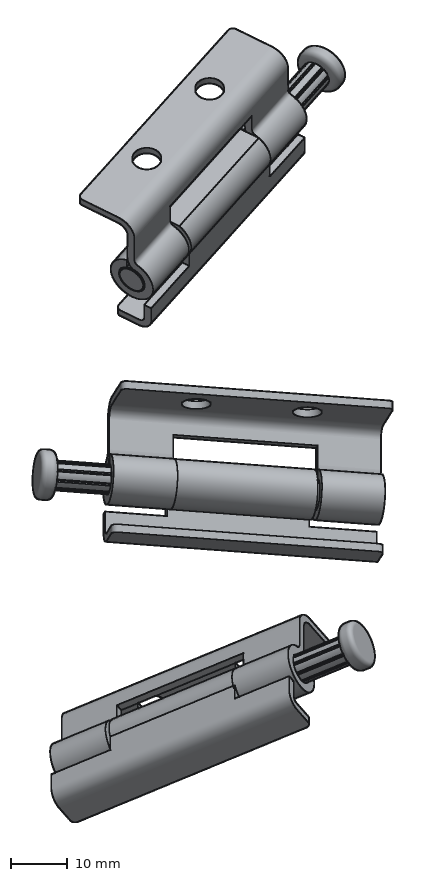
import cadquery as cq
import math


sheet = 1.5
leaf_length = 49.0
barrel_radius = 4.495
bore_radius = 2.7
corner_radius = 1.0

upper_top = 14.45
upper_edge_x = -11.5
upper_web_inner_x = -0.9
upper_web_outer_x = upper_web_inner_x + sheet
upper_bend_inner = 2.0
upper_bend_outer = upper_bend_inner + sheet
neck_height = 5.3
curl_end_x = -1.1
window_front = 11.4
window_back = 37.45
window_top = 8.9
screw_hole_diameter = 5.15
screw_hole_x = -6.45
screw_hole_pitch = 20.0

lower_bottom = -11.05
lower_edge_x = -3.4
lower_web_outer_x = 4.1
lower_web_inner_x = lower_web_outer_x - sheet
lower_bend_inner = 1.1
lower_bend_outer = lower_bend_inner + sheet
shoulder_height = -5.1
knuckle_front = 12.15
tab_back = 37.8
knuckle_flat_height = 4.0

pin_radius = 2.65
pin_front = -0.1
pin_length = 62.0
pin_back = pin_front + pin_length
pin_end_chamfer = 0.2
head_radius = barrel_radius
head_thickness = 3.05
head_top_round = 0.9
head_under_round = 1.1
head_front = pin_back - head_thickness
groove_count = 9
groove_width = 0.5
groove_depth = 0.22
groove_front = leaf_length


def on_circle(radius, x):
    """Height of the upper half of a circle about the hinge axis at x."""
    return math.sqrt(radius**2 - x**2)


def section(start_y):
    """XZ sketch plane at start_y, extruding towards +Y."""
    return cq.Workplane(cq.Plane((0, start_y, 0), xDir=(1, 0, 0), normal=(0, -1, 0)))


def extrude_back(sketch, length):
    return sketch.extrude(-length)


def bar(radius, start_y, end_y):
    """Round bar on the hinge axis."""
    return extrude_back(section(start_y).circle(radius), end_y - start_y)


def box_between(x_range, y_range, z_range):
    lengths = [end - start for start, end in (x_range, y_range, z_range)]
    corner = (x_range[0], y_range[0], z_range[0])
    return cq.Workplane("XY").box(*lengths, centered=False).translate(corner)


def round_free_corners(leaf):
    """Round the two vertical corners on the free edge of a flange."""
    return leaf.faces("<X").edges("|Z").fillet(corner_radius)


def make_upper_leaf():
    neck_radius = (
        (upper_web_outer_x**2 + neck_height**2 - barrel_radius**2)
        / (2 * (barrel_radius - upper_web_outer_x))
    )
    neck_x = upper_web_outer_x + neck_radius
    neck_distance = barrel_radius + neck_radius
    neck_end = (neck_x * barrel_radius / neck_distance, neck_height * barrel_radius / neck_distance)

    outline = (
        section(0)
        .moveTo(upper_edge_x, upper_top)
        .lineTo(upper_web_outer_x - upper_bend_outer, upper_top)
        .radiusArc((upper_web_outer_x, upper_top - upper_bend_outer), upper_bend_outer)
        .lineTo(upper_web_outer_x, neck_height)
        .radiusArc(neck_end, -neck_radius)
        .threePointArc((0, -barrel_radius), (curl_end_x, on_circle(barrel_radius, curl_end_x)))
        .lineTo(curl_end_x, on_circle(bore_radius, curl_end_x))
        .threePointArc((0, -bore_radius), (0, bore_radius))
    )
    neck_drop = neck_height - bore_radius
    neck_inner_radius = (upper_web_inner_x**2 + neck_drop**2) / (2 * abs(upper_web_inner_x))
    outline = (
        outline
        .radiusArc((upper_web_inner_x, neck_height), neck_inner_radius)
        .lineTo(upper_web_inner_x, upper_top - upper_bend_outer)
        .radiusArc((upper_web_outer_x - upper_bend_outer, upper_top - sheet), -upper_bend_inner)
        .lineTo(upper_edge_x, upper_top - sheet)
        .close()
    )
    leaf = round_free_corners(extrude_back(outline, leaf_length))

    window = box_between(
        (-barrel_radius, barrel_radius), (window_front, window_back), (-barrel_radius, window_top)
    )
    leaf = leaf.cut(window)

    holes = (
        cq.Workplane("XY", origin=(screw_hole_x, leaf_length / 2, upper_top - sheet))
        .rarray(0.6, screw_hole_pitch, 1, 2)
        .circle(screw_hole_diameter / 2)
        .extrude(sheet)
    )
    return leaf.cut(holes)


def make_lower_leaf():
    angle_outline = (
        section(0)
        .moveTo(lower_edge_x, lower_bottom)
        .lineTo(lower_web_outer_x - lower_bend_outer, lower_bottom)
        .radiusArc((lower_web_outer_x, lower_bottom + lower_bend_outer), -lower_bend_outer)
        .lineTo(lower_web_outer_x, shoulder_height)
        .lineTo(lower_web_inner_x, shoulder_height)
        .lineTo(lower_web_inner_x, lower_bottom + lower_bend_outer)
        .radiusArc((lower_web_outer_x - lower_bend_outer, lower_bottom + sheet), lower_bend_inner)
        .lineTo(lower_edge_x, lower_bottom + sheet)
        .close()
    )
    leaf = round_free_corners(extrude_back(angle_outline, leaf_length))

    tab_top = -on_circle(barrel_radius, lower_web_outer_x)
    tab = box_between(
        (lower_web_inner_x, lower_web_outer_x), (knuckle_front, tab_back), (shoulder_height, tab_top)
    )
    tab = tab.cut(bar(barrel_radius, window_back, tab_back))

    knuckle = bar(barrel_radius, knuckle_front, window_back)
    above_flat = box_between(
        (-barrel_radius, barrel_radius), (knuckle_front, window_back), (knuckle_flat_height, barrel_radius)
    )
    knuckle = knuckle.cut(above_flat)

    leaf = leaf.union(tab).union(knuckle)
    return leaf.cut(bar(bore_radius, knuckle_front, window_back))


def make_pin():
    shank = bar(pin_radius, pin_front, head_front).faces("<Y").chamfer(pin_end_chamfer)
    head = (
        bar(head_radius, head_front, pin_back)
        .faces(">Y").edges().fillet(head_top_round)
        .faces("<Y").edges().fillet(head_under_round)
    )
    pin = shank.union(head)

    groove_outline = section(groove_front).polyline([
        (-pin_radius, groove_width / 2),
        (-pin_radius + groove_depth, 0),
        (-pin_radius, -groove_width / 2),
    ]).close()
    groove = extrude_back(groove_outline, head_front - groove_front)
    for index in range(groove_count):
        angle = index * 360 / groove_count
        pin = pin.cut(groove.rotate((0, 0, 0), (0, 1, 0), angle))
    return pin


upper_leaf = make_upper_leaf()
lower_leaf = make_lower_leaf()
pin = make_pin()

result = cq.Compound.makeCompound([upper_leaf.val(), lower_leaf.val(), pin.val()])